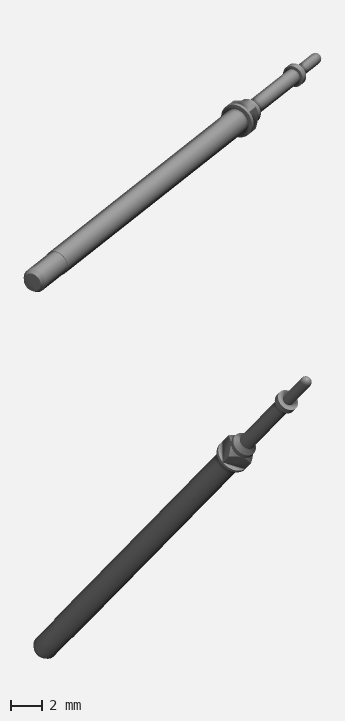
import cadquery as cq

TOTAL_LENGTH = 35.7
END_TAPER_LENGTH = 0.3
SLEEVE_LENGTH = 3.0
FLANGE_START = 25.5
FLANGE_THICKNESS = 0.2
NECK_START = 26.8
NECK_LENGTH = 0.32
SHOULDER_LENGTH = 0.32
COLLAR_START = 32.52
COLLAR_WIDTH = 0.43

BODY_DIAMETER = 1.68
SLEEVE_DIAMETER = 1.6
END_FACE_DIAMETER = 1.25
FLANGE_DIAMETER = 2.3
SQUARE_WIDTH = 1.65
SHANK_DIAMETER = 1.05
COLLAR_DIAMETER = 1.45
TIP_DIAMETER = 0.75

BODY_RADIUS = BODY_DIAMETER / 2
SLEEVE_RADIUS = SLEEVE_DIAMETER / 2
END_FACE_RADIUS = END_FACE_DIAMETER / 2
FLANGE_RADIUS = FLANGE_DIAMETER / 2
NECK_RADIUS = SQUARE_WIDTH / 2
SHANK_RADIUS = SHANK_DIAMETER / 2
COLLAR_RADIUS = COLLAR_DIAMETER / 2
TIP_RADIUS = TIP_DIAMETER / 2

FLANGE_END = FLANGE_START + FLANGE_THICKNESS
NECK_END = NECK_START + NECK_LENGTH
SHOULDER_END = NECK_END + SHOULDER_LENGTH
COLLAR_END = COLLAR_START + COLLAR_WIDTH


def rod(start, end, radius):
    """Round length of the pin between two positions along Y."""
    return cone(start, end, radius, radius)


def cone(start, end, start_radius, end_radius):
    """Straight taper (or cylinder) around the Y axis."""
    outline = [(0, start), (start_radius, start), (end_radius, end), (0, end)]
    return cq.Workplane("XY").polyline(outline).close().revolve(360, (0, 0), (0, 1))


def square_section():
    """Square length in front of the flange, its corners bevelled by a 45 degree cone."""
    length = NECK_START - FLANGE_END
    square = cq.Workplane("XY").box(SQUARE_WIDTH, length, SQUARE_WIDTH)
    square = square.translate((0, FLANGE_END + length / 2, 0))
    bevel_start = NECK_START - (FLANGE_RADIUS - NECK_RADIUS)
    envelope = rod(FLANGE_END, bevel_start, FLANGE_RADIUS)
    envelope = envelope.union(cone(bevel_start, NECK_START, FLANGE_RADIUS, NECK_RADIUS))
    return square.intersect(envelope)


def domed_tip():
    """Thin contact pin ending in a hemisphere."""
    dome_center = TOTAL_LENGTH - TIP_RADIUS
    pin = rod(COLLAR_END, dome_center, TIP_RADIUS)
    return pin.union(cq.Workplane("XY").sphere(TIP_RADIUS).translate((0, dome_center, 0)))


result = cone(0, END_TAPER_LENGTH, END_FACE_RADIUS, SLEEVE_RADIUS)
sections = [
    rod(END_TAPER_LENGTH, SLEEVE_LENGTH, SLEEVE_RADIUS),
    rod(SLEEVE_LENGTH, FLANGE_START, BODY_RADIUS),
    rod(FLANGE_START, FLANGE_END, FLANGE_RADIUS),
    square_section(),
    rod(NECK_START, NECK_END, NECK_RADIUS),
    cone(NECK_END, SHOULDER_END, NECK_RADIUS, SHANK_RADIUS),
    rod(SHOULDER_END, COLLAR_START, SHANK_RADIUS),
    rod(COLLAR_START, COLLAR_END, COLLAR_RADIUS),
    domed_tip(),
]
for section in sections:
    result = result.union(section)